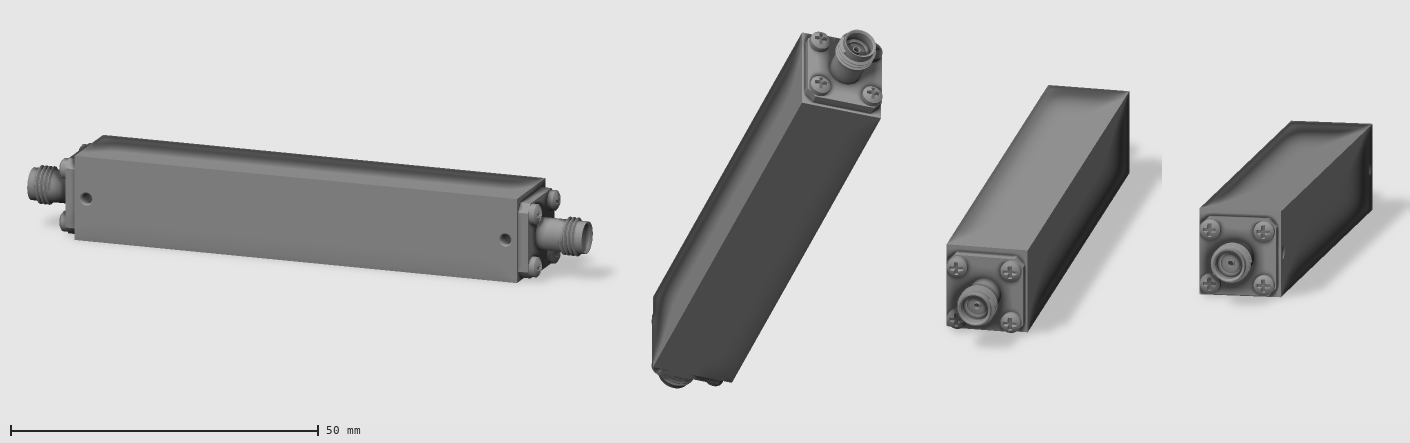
import cadquery as cq
import math

OVERALL_LENGTH = 95.85
BODY_WIDTH = 13.5
BODY_HEIGHT = 14.2
BODY_RISE = 0.3
CONNECTOR_LENGTH = 9.7
BODY_LENGTH = OVERALL_LENGTH - 2 * CONNECTOR_LENGTH

HOLE_DIAMETER = 1.8
HOLE_MOUTH_DIAMETER = 2.2
HOLE_MOUTH_DEPTH = (HOLE_MOUTH_DIAMETER - HOLE_DIAMETER) / 2
HOLE_DEPTH = 3.8
HOLE_TIP_ANGLE = 118.0
HOLE_END_DISTANCE = 2.0

FLANGE_SIZE = 12.7
FLANGE_THICKNESS = 1.7
FLANGE_CHAMFER = 1.3

SCREW_SPACING = 8.9
HEAD_DIAMETER = 3.4
HEAD_RIM_HEIGHT = 1.0
HEAD_DOME_HEIGHT = 0.7
RECESS_LENGTH = 2.3
RECESS_WIDTH = 0.8
RECESS_DEPTH = 0.8
RECESS_TAPER = 12.0

BARREL_DIAMETER = 5.4
MOUTH_DIAMETER = 5.1
SOCKET_DIAMETER = 4.5
MOUTH_DEPTH = (MOUTH_DIAMETER - SOCKET_DIAMETER) / 2
SOCKET_DEPTH = 2.1
INSULATOR_DIAMETER = 3.4
INSULATOR_RECESS = 0.4
PIN_DIAMETER = 1.2
PIN_PROJECTION = 0.3
PIN_BORE_DIAMETER = 0.94
PIN_BORE_DEPTH = 1.4

THREAD_DIAMETER = 6.3
THREAD_PITCH = 0.71
THREAD_TURNS = 3.6
THREAD_TIP_GAP = 1.15
THREAD_BASE_WIDTH = 0.63
THREAD_CREST_WIDTH = 0.1
THREAD_OVERLAP = 0.1
THREAD_START_ANGLE = -90.0


def disc(diameter, bottom, height):
    """Cylinder on the Z axis."""
    return cq.Workplane("XY").workplane(offset=bottom).circle(diameter / 2).extrude(height)


def taper(bottom_diameter, top_diameter, bottom, height):
    """Truncated cone on the Z axis."""
    return (
        cq.Workplane("XY")
        .workplane(offset=bottom)
        .circle(bottom_diameter / 2)
        .workplane(offset=height)
        .circle(top_diameter / 2)
        .loft()
    )


def make_hole_tool():
    """Countersunk drill shape, pointing along +Y from the origin."""
    radius = HOLE_DIAMETER / 2
    tip_length = radius / math.tan(math.radians(HOLE_TIP_ANGLE / 2))
    return (
        cq.Workplane("XY")
        .moveTo(0, 0)
        .lineTo(HOLE_MOUTH_DIAMETER / 2, 0)
        .lineTo(radius, HOLE_MOUTH_DEPTH)
        .lineTo(radius, HOLE_DEPTH)
        .lineTo(0, HOLE_DEPTH + tip_length)
        .close()
        .revolve(360, (0, 0, 0), (0, 1, 0))
    )


def make_body():
    body = cq.Workplane("XY").box(BODY_LENGTH, BODY_WIDTH, BODY_HEIGHT)
    hole_x = BODY_LENGTH / 2 - HOLE_END_DISTANCE
    for x in (-hole_x, hole_x):
        body = body.cut(make_hole_tool().translate((x, -BODY_WIDTH / 2, 0)))
    return body.translate((0, 0, BODY_RISE))


def make_screw_head():
    """Domed head with a tapered cross recess, standing on the XY plane."""
    radius = HEAD_DIAMETER / 2
    height = HEAD_RIM_HEIGHT + HEAD_DOME_HEIGHT
    dome_radius = (radius**2 + HEAD_DOME_HEIGHT**2) / (2 * HEAD_DOME_HEIGHT)
    half_angle = math.asin(radius / dome_radius) / 2
    dome_middle = (
        dome_radius * math.sin(half_angle),
        height - dome_radius * (1 - math.cos(half_angle)),
    )
    head = (
        cq.Workplane("XZ")
        .moveTo(0, 0)
        .lineTo(radius, 0)
        .lineTo(radius, HEAD_RIM_HEIGHT)
        .threePointArc(dome_middle, (0, height))
        .close()
        .revolve(360, (0, 0, 0), (0, 1, 0))
    )
    top = cq.Workplane("XY").workplane(offset=height)
    for length, width in ((RECESS_LENGTH, RECESS_WIDTH), (RECESS_WIDTH, RECESS_LENGTH)):
        head = head.cut(top.rect(length, width).extrude(-RECESS_DEPTH, taper=RECESS_TAPER))
    return head


def make_flange():
    flange = (
        cq.Workplane("XY")
        .rect(FLANGE_SIZE, FLANGE_SIZE)
        .extrude(FLANGE_THICKNESS)
        .edges("|Z")
        .chamfer(FLANGE_CHAMFER)
    )
    half = SCREW_SPACING / 2
    for x in (-half, half):
        for y in (-half, half):
            flange = flange.union(make_screw_head().translate((x, y, FLANGE_THICKNESS)))
    return flange


def make_barrel():
    """Barrel with a countersunk mouth, a stepped socket and a hollow centre pin."""
    socket_floor = CONNECTOR_LENGTH - SOCKET_DEPTH
    insulator_face = socket_floor - INSULATOR_RECESS
    pin_height = INSULATOR_RECESS + PIN_PROJECTION
    pin_end = insulator_face + pin_height
    return (
        disc(BARREL_DIAMETER, 0, CONNECTOR_LENGTH)
        .cut(taper(SOCKET_DIAMETER, MOUTH_DIAMETER, CONNECTOR_LENGTH - MOUTH_DEPTH, MOUTH_DEPTH))
        .cut(disc(SOCKET_DIAMETER, socket_floor, SOCKET_DEPTH))
        .cut(disc(INSULATOR_DIAMETER, insulator_face, INSULATOR_RECESS))
        .union(disc(PIN_DIAMETER, insulator_face, pin_height))
        .cut(disc(PIN_BORE_DIAMETER, pin_end - PIN_BORE_DEPTH, PIN_BORE_DEPTH))
    )


def make_thread():
    """Right-handed helical ridge around the barrel."""
    foot = BARREL_DIAMETER / 2 - THREAD_OVERLAP
    crest = THREAD_DIAMETER / 2
    length = THREAD_PITCH * THREAD_TURNS
    helix = cq.Wire.makeHelix(THREAD_PITCH, length, BARREL_DIAMETER / 2)
    ridge = (
        cq.Workplane("XZ")
        .moveTo(foot, -THREAD_BASE_WIDTH / 2)
        .lineTo(crest, -THREAD_CREST_WIDTH / 2)
        .lineTo(crest, THREAD_CREST_WIDTH / 2)
        .lineTo(foot, THREAD_BASE_WIDTH / 2)
        .close()
        .sweep(cq.Workplane(obj=helix), isFrenet=True)
    )
    start = CONNECTOR_LENGTH - THREAD_TIP_GAP - length
    return ridge.rotate((0, 0, 0), (0, 0, 1), THREAD_START_ANGLE).translate((0, 0, start))


def make_connector():
    """Complete connector, turned to point along -X from the -X end of the housing."""
    connector = make_flange().union(make_barrel()).union(make_thread())
    return connector.rotate((0, 0, 0), (0, 1, 0), -90).translate((-BODY_LENGTH / 2, 0, 0))


left_connector = make_connector()
right_connector = left_connector.rotate((0, 0, 0), (0, 1, 0), 180)
result = make_body().union(left_connector).union(right_connector)